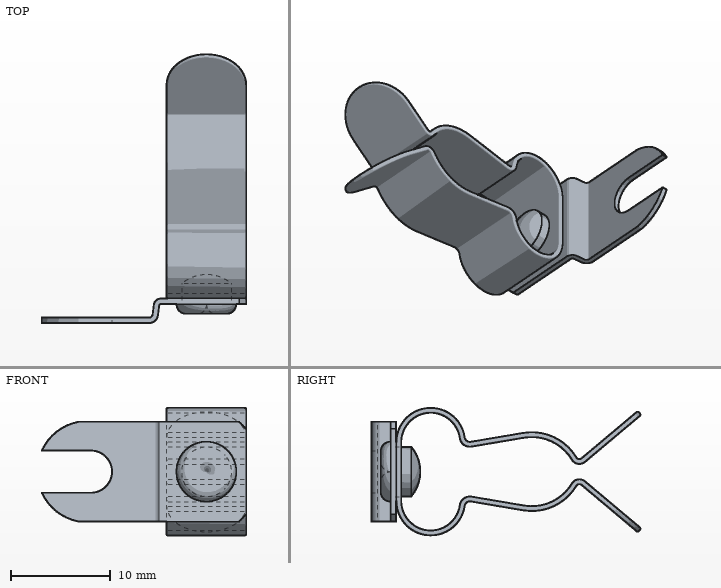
import cadquery as cq
import math


clip_width = 8.0
clip_height = 12.8
clip_depth = 24.48
clip_thickness = 0.5
clip_edge_radius = 0.15
loop_outer_radius = 3.45
waist_half_gap = 2.48
waist_inner_radius = 0.5
belly_outer_radius = 5.2
belly_outer_height = 3.95
belly_y = 13.6
throat_half_gap = 0.75
throat_inner_radius = 0.35
lip_angle = math.radians(40)

bracket_height = 10.0
bracket_thickness = 0.57
bracket_reach = 16.5
fork_depth = 2.48
corner_chamfer = 0.73
upper_bend_x = -4.53
upper_bend_inner_radius = 0.2
lower_bend_x = -5.75
lower_bend_inner_radius = 0.35
slot_width = 4.2
slot_end_x = -9.45
fork_end_radius = 5.1

head_diameter = 6.0
head_height = 1.0
dimple_radius = 1.0
shank_diameter = 5.0
shank_end_y = 1.5
dome_height = 0.92

touch_tolerance = 2.7e-07


def shift_left(point, heading, distance):
    """Point moved sideways to the left of a heading."""
    u, v = point
    return (u - distance * math.sin(heading), v + distance * math.cos(heading))


def bend_point(bend, heading, offset):
    """Point of a bend where the sheet runs along heading, offset to the left of its middle line.

    A bend is (center, middle radius, turn), where turn is 1 for a left turn and -1 for a right turn.
    """
    center, radius, turn = bend
    return shift_left(center, heading, offset - turn * radius)


def cross_heading(bend, next_bend):
    """Heading of the straight run that joins two bends of opposite turn; zero length if they touch."""
    (u1, v1), radius1, turn = bend
    (u2, v2), radius2, _ = next_bend
    distance = math.hypot(u2 - u1, v2 - v1)
    swing = math.asin(min(1, (radius1 + radius2) / distance))
    return math.atan2(v2 - v1, u2 - u1) + turn * swing


def trace_bends(outline, arcs):
    """Add arcs (first, middle, last) to an outline, with straight runs where they do not touch."""
    position = None
    for first, middle, last in arcs:
        if position is None or math.dist(position, first) > touch_tolerance:
            outline = outline.lineTo(*first)
        outline = outline.threePointArc(middle, last)
        position = last
    return outline


def sheet_profile(plane, start, bends, headings, end, thickness):
    """Closed outline of a bent sheet. The bends are joined by tangent straight runs."""
    left = thickness / 2
    right = -left

    def face_arcs(offset):
        arcs = []
        for bend, first, last in zip(bends, headings, headings[1:]):
            stops = (first, (first + last) / 2, last)
            arcs.append([bend_point(bend, heading, offset) for heading in stops])
        return arcs

    right_arcs_back = [arc[::-1] for arc in reversed(face_arcs(right))]
    outline = cq.Workplane(plane).moveTo(*shift_left(start, headings[0], left))
    outline = trace_bends(outline, face_arcs(left))
    outline = outline.lineTo(*shift_left(end, headings[-1], left))
    outline = outline.lineTo(*shift_left(end, headings[-1], right))
    outline = trace_bends(outline, right_arcs_back)
    return outline.lineTo(*shift_left(start, headings[0], right)).close()


def rivet_hole():
    """Cylinder along Y that fits the rivet shank through both sheets."""
    length = bracket_thickness + clip_thickness
    return cq.Workplane("XZ").circle(shank_diameter / 2).extrude(length, both=True)


def make_clip_half():
    """Upper arm of the clip, from the middle of its back to the rounded lip."""
    half = clip_thickness / 2
    loop_radius = loop_outer_radius - half
    waist_radius = waist_inner_radius + half
    belly_radius = belly_outer_radius - half
    throat_radius = throat_inner_radius + half

    loop_y = loop_outer_radius
    loop_z = clip_height / 2 - loop_outer_radius
    waist_z = waist_half_gap + clip_thickness + waist_inner_radius
    waist_y = loop_y + math.sqrt((loop_radius + waist_radius) ** 2 - (waist_z - loop_z) ** 2)
    belly_z = belly_outer_height - belly_outer_radius
    throat_z = throat_half_gap + clip_thickness + throat_inner_radius
    throat_y = belly_y + math.sqrt((belly_radius + throat_radius) ** 2 - (throat_z - belly_z) ** 2)

    loop = ((loop_y, loop_z), loop_radius, -1)
    waist = ((waist_y, waist_z), waist_radius, 1)
    belly = ((belly_y, belly_z), belly_radius, -1)
    throat = ((throat_y, throat_z), throat_radius, 1)
    headings = [
        math.pi / 2,
        cross_heading(loop, waist),
        cross_heading(waist, belly),
        cross_heading(belly, throat),
        lip_angle,
    ]

    lip_start_y, lip_start_z = bend_point(throat, lip_angle, 0)
    edge_center_y = clip_depth - clip_edge_radius
    lip_end_y = (
        edge_center_y
        + clip_edge_radius * math.cos(lip_angle)
        - (half - clip_edge_radius) * math.sin(lip_angle)
    )
    lip_end_z = lip_start_z + (lip_end_y - lip_start_y) * math.tan(lip_angle)
    lip_end = (lip_end_y, lip_end_z)
    bends = [loop, waist, belly, throat]
    profile = sheet_profile("YZ", (half, 0), bends, headings, lip_end, clip_thickness)
    arm = profile.extrude(clip_width / 2, both=True)

    round_radius = clip_width / 2
    lip_plane = cq.Plane(
        origin=(0, lip_end_y - round_radius * math.cos(lip_angle),
                lip_end_z - round_radius * math.sin(lip_angle)),
        xDir=(1, 0, 0),
        normal=(0, -math.sin(lip_angle), math.cos(lip_angle)),
    )
    corners = (
        cq.Workplane(lip_plane)
        .moveTo(-round_radius, 0)
        .threePointArc((0, round_radius), (round_radius, 0))
        .lineTo(round_radius, 2 * round_radius)
        .lineTo(-round_radius, 2 * round_radius)
        .close()
        .extrude(clip_thickness, both=True)
    )
    return arm.cut(corners)


def make_clip():
    upper = make_clip_half()
    clip = upper.union(upper.mirror("XY")).clean()
    rim = [
        edge
        for edge in clip.edges("not |X").vals()
        if edge.geomType() != "LINE" or edge.Length() > clip_thickness + touch_tolerance
    ]
    return clip.newObject(rim).fillet(clip_edge_radius).cut(rivet_hole())


def make_bracket():
    half = bracket_thickness / 2
    upper_radius = upper_bend_inner_radius + half
    lower_radius = lower_bend_inner_radius + half
    plate_y = -half
    fork_y = half - fork_depth
    lower = ((lower_bend_x, fork_y + lower_radius), lower_radius, 1)
    upper = ((upper_bend_x, plate_y - upper_radius), upper_radius, -1)
    headings = [0, cross_heading(lower, upper), 0]
    start = (-bracket_reach, fork_y)
    end = (clip_width / 2, plate_y)
    profile = sheet_profile("XY", start, [lower, upper], headings, end, bracket_thickness)
    bracket = profile.extrude(bracket_height / 2, both=True)
    bracket = bracket.edges("|Y and >X").chamfer(corner_chamfer)

    tip_z = slot_width / 2
    edge_z = bracket_height / 2
    arc_center_x = -bracket_reach + math.sqrt(fork_end_radius**2 - tip_z**2)
    shoulder_x = arc_center_x - math.sqrt(fork_end_radius**2 - edge_z**2)
    fork_outline = (
        cq.Workplane("XZ")
        .moveTo(clip_width, edge_z)
        .lineTo(shoulder_x, edge_z)
        .threePointArc((arc_center_x - fork_end_radius, 0), (shoulder_x, -edge_z))
        .lineTo(clip_width, -edge_z)
        .close()
        .extrude(2 * fork_depth, both=True)
    )

    slot_round = slot_width / 2
    slot_center_x = slot_end_x - slot_round
    slot = (
        cq.Workplane("XZ")
        .moveTo(-2 * bracket_reach, slot_round)
        .lineTo(slot_center_x, slot_round)
        .threePointArc((slot_end_x, 0), (slot_center_x, -slot_round))
        .lineTo(-2 * bracket_reach, -slot_round)
        .close()
        .extrude(2 * fork_depth, both=True)
    )
    return bracket.intersect(fork_outline).cut(slot).cut(rivet_hole())


def make_rivet():
    """Rivet turned about Y: rounded head with a flared dimple, plain shank and domed tail."""
    head_y = -bracket_thickness
    face_y = head_y - head_height
    head_radius = head_diameter / 2
    flat_radius = head_radius - head_height
    shank_radius = shank_diameter / 2
    dome_radius = (shank_radius**2 + dome_height**2) / (2 * dome_height)
    dome_center_y = shank_end_y + dome_height - dome_radius
    dome_half_angle = math.asin(shank_radius / dome_radius) / 2
    dome_middle = (
        dome_radius * math.sin(dome_half_angle),
        dome_center_y + dome_radius * math.cos(dome_half_angle),
    )
    rim_diagonal = head_height * math.sqrt(0.5)
    dimple_diagonal = dimple_radius * (1 - math.sqrt(0.5))
    return (
        cq.Workplane("XY")
        .moveTo(0, face_y + dimple_radius)
        .threePointArc(
            (dimple_diagonal, face_y + dimple_diagonal),
            (dimple_radius, face_y),
        )
        .lineTo(flat_radius, face_y)
        .threePointArc((flat_radius + rim_diagonal, head_y - rim_diagonal), (head_radius, head_y))
        .lineTo(shank_radius, head_y)
        .lineTo(shank_radius, shank_end_y)
        .threePointArc(dome_middle, (0, shank_end_y + dome_height))
        .close()
        .revolve(360, (0, 0, 0), (0, 1, 0))
    )


clip = make_clip()
bracket = make_bracket()
rivet = make_rivet()

result = cq.Compound.makeCompound([clip.solids().val(), bracket.solids().val(), rivet.val()])